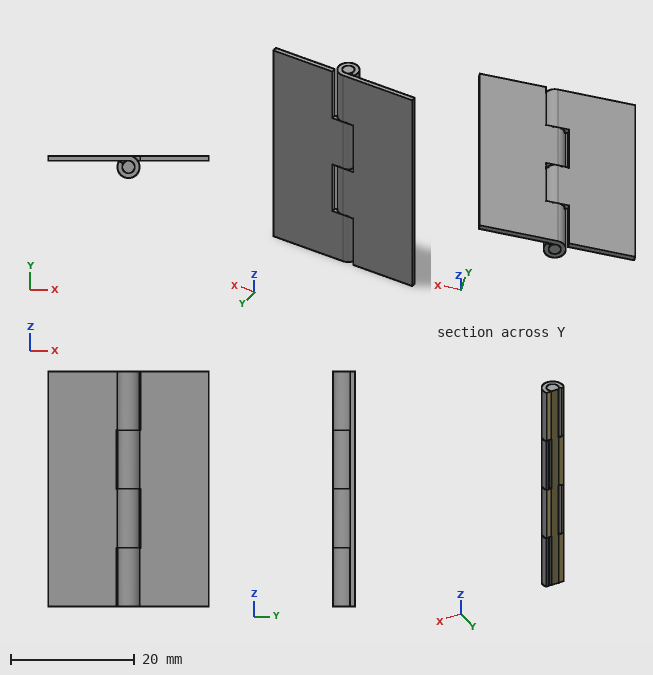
import cadquery as cq
import math

hinge_height = 38.0
hinge_width = 26.0
barrel_diameter = 3.6
sheet_thickness = 0.8
knuckle_count = 4
notch_edge = 1.95
curl_end_angle = 32.0

barrel_radius = barrel_diameter / 2
pin_radius = barrel_radius - sheet_thickness
knuckle_height = hinge_height / knuckle_count
leaf_reach = hinge_width / 2


def polar_point(radius, angle):
    """Point at the given radius and angle (degrees) around the hinge axis."""
    return (radius * math.cos(math.radians(angle)), radius * math.sin(math.radians(angle)))


def make_plate():
    """Flat sheet of the left leaf, outside the knuckle notches."""
    return (
        cq.Workplane("XY")
        .moveTo(-leaf_reach, pin_radius)
        .lineTo(-notch_edge, pin_radius)
        .lineTo(-notch_edge, barrel_radius)
        .lineTo(-leaf_reach, barrel_radius)
        .close()
        .extrude(hinge_height)
    )


def make_knuckle(bottom):
    """Sheet running in from the left plate and curling clockwise around the pin."""
    curl_end = 180 - curl_end_angle
    curl_middle = (90 + curl_end - 360) / 2
    return (
        cq.Workplane("XY", origin=(0, 0, bottom))
        .moveTo(-notch_edge, barrel_radius)
        .lineTo(0, barrel_radius)
        .threePointArc(polar_point(barrel_radius, curl_middle), polar_point(barrel_radius, curl_end))
        .lineTo(*polar_point(pin_radius, curl_end))
        .threePointArc(polar_point(pin_radius, curl_middle), (0, pin_radius))
        .lineTo(-notch_edge, pin_radius)
        .close()
        .extrude(knuckle_height)
    )


def make_left_leaf(first_knuckle):
    """Left-hand leaf with every second knuckle, counted up from first_knuckle."""
    leaf = make_plate()
    for index in range(first_knuckle, knuckle_count, 2):
        leaf = leaf.union(make_knuckle(index * knuckle_height))
    return leaf


def make_pin():
    """Straight pin filling the bore of all the knuckles."""
    return cq.Workplane("XY").circle(pin_radius).extrude(hinge_height)


left_leaf = make_left_leaf(first_knuckle=1)
right_leaf = make_left_leaf(first_knuckle=0).mirror("YZ")
pin = make_pin()

result = cq.Compound.makeCompound([left_leaf.val(), right_leaf.val(), pin.val()])